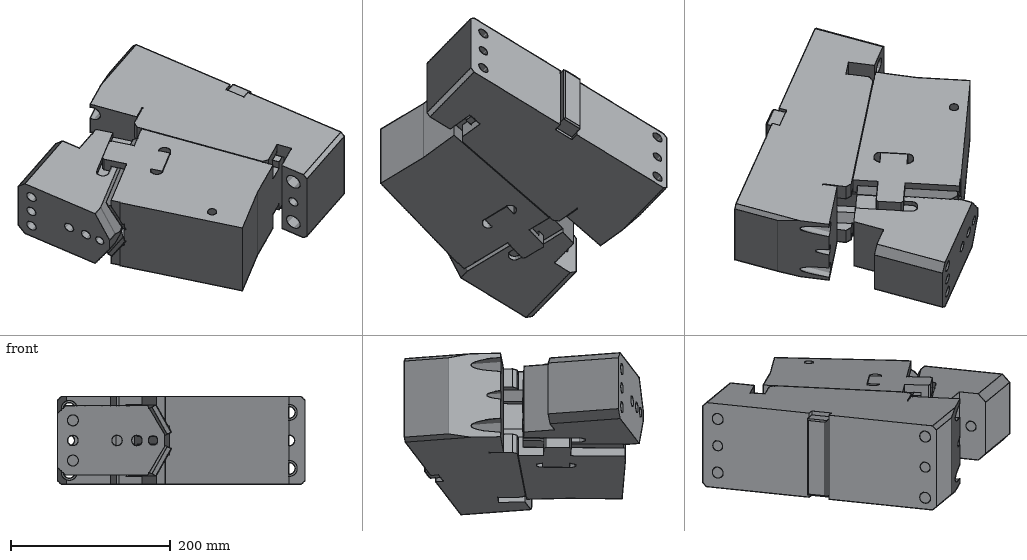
import cadquery as cq
import math


GUIDE_ANGLE = 10.0
DRIVE_ANGLE = 15.0
FLANK_ANGLE = 30.0
GUIDE_ORIGIN = (0.0, -140.0)
SLIDE_CORNER = (124.0, -255.5)
FAR = 620.0

LENGTH = 310.0
HALF_HEIGHT = 55.02
BLOCK_CHAMFER = 5.0
TAPER_START_Y = -56.7
TAPER_FRONT_V = 16.7
LEG_FRONT_Y = -90.0
RECESS_V = 35.0
RECESS_LEFT_U = 77.2
RECESS_RIGHT_U = 277.8
GIB_LEFT_U = 78.0
GIB_RIGHT_U = 258.5
GIB_CHAMFER = 5.5
BOLT_RADIUS = 7.0
BOLT_HEAD_RADIUS = 10.0
BOLT_HEAD_SEAT_Y = -62.0
LEFT_HOLES_X = 15.0
LEFT_BOLT_Z = 40.0
RIGHT_HOLES_X = 290.2
RIGHT_BOLT_Z = 35.0
DOWEL_RADIUS = 6.5
KEY_LEFT_X = 142.5
KEY_WIDTH = 26.0
KEY_HALF_HEIGHT = 50.0
KEY_INSET = 10.0
KEY_PROUD = 8.7
KEY_CHAMFER = 2.0

SLIDE_WIDTH = 171.5
SLIDE_STRAIGHT_LENGTH = 67.3
SLIDE_RIGHT_U = 267.8
SLIDE_GAP = 1.0
FRONT_STEP_WIDTH = 11.5
FRONT_STEP_DEPTH = 1.0
NECK_HALF = 31.0
NECK_V = 19.2
HEAD_HALF = 42.0
HEAD_CHAMFER = 6.0
GROOVE_HALF = 31.0
GROOVE_FLAT_HALF = 18.3
GROOVE_DEPTH = 17.0
PLATE_START = 3.0
PLATE_THICKNESS = 11.2
PLATE_WIDTH = 39.5
PLATE_LEAD_DEPTH = 5.5
PLATE_LEAD_LENGTH = 8.7
PLATE_EDGE_SETBACK = 5.3
TONGUE_END_P = -32.2
TONGUE_LOW_Q = 69.0
TONGUE_HIGH_Q = 103.2
TONGUE_BOTTOM_Z = 45.0
TONGUE_CHAMFER = 2.5
SLOT_WIDTH = 15.5
SLOT_FLOOR_Z = 36.0
HOOK_BOTTOM_Z = 36.5
HOOK_WIDTH = 11.8
POCKET_P = 39.5
POCKET_GAP = 0.5
SLIDE_HOLE = (242.0, -206.0)
SLIDE_HOLE_RADIUS = 5.5
SLIDE_HOLE_DEPTH = 18.5
DRILL_POINT_ANGLE = 118.0

DRIVER_HALF = 43.5
DRIVER_FRONT_Y = -275.3
DRIVER_FOOT_BACK_Y = -185.0
DRIVER_NECK_X = 34.7
DRIVER_END_Q = 129.0
DRIVER_BEND_Y = -262.0
DRIVER_CHAMFER = 10.0
DRIVER_EDGE_P = -12.5
TIP_P = 11.2
TIP_X = 134.2
DRIVER_SLOT_P = -28.0
DRIVER_SLOT_END_Q = 59.0
ENTRY_START_Q = 86.2
FOOT_HOLES_X = 19.5
FOOT_HOLE_Z = 25.0
FOOT_HOLE_RADIUS = 6.8
FOOT_HOLE_DEPTH = 31.0
DRIVER_BOLT_X = 74.7
DRIVER_HOLES = [(DRIVER_BOLT_X, 6.5), (99.5, 6.5), (119.7, 6.0)]
DRIVER_HEAD_RADIUS = 10.2
DRIVER_HEAD_SEAT_Y = -161.2

FLANK_RUN = math.tan(math.radians(FLANK_ANGLE))
TIP_HALF = DRIVER_HALF - (TIP_P - DRIVER_EDGE_P) / FLANK_RUN


def turned(along, across, origin, angle):
    """World X, Y of a point given in a frame turned about Z."""
    c = math.cos(math.radians(angle))
    s = math.sin(math.radians(angle))
    return (origin[0] + along * c - across * s, origin[1] + along * s + across * c)


def guide(u, v):
    return turned(u, v, GUIDE_ORIGIN, GUIDE_ANGLE)


def slide_xy(p, q):
    return turned(p, q, SLIDE_CORNER, DRIVE_ANGLE)


def slide_line_x(p, y):
    """X at which the line of constant p crosses the given Y."""
    a = math.radians(DRIVE_ANGLE)
    return SLIDE_CORNER[0] + (p - (y - SLIDE_CORNER[1]) * math.sin(a)) / math.cos(a)


def upright_prism(points, low_z, high_z):
    return cq.Workplane("XY").workplane(offset=low_z).polyline(points).close().extrude(high_z - low_z)


def mirrored(solid):
    """The shape together with its reflection in Z = 0."""
    return solid.union(solid.mirror("XY"))


def guide_profile(points, start_u, end_u):
    """Prism along the guide direction from (v, z) points."""
    plane = cq.Plane(
        origin=(*guide(start_u, 0), 0),
        xDir=(*turned(0, 1, (0, 0), GUIDE_ANGLE), 0),
        normal=(*turned(1, 0, (0, 0), GUIDE_ANGLE), 0),
    )
    return cq.Workplane(plane).polyline(points).close().extrude(end_u - start_u)


def drive_profile(points, start_q, end_q):
    """Prism along the drive direction from (p, z) points."""
    plane = cq.Plane(
        origin=(*slide_xy(0, end_q), 0),
        xDir=(*turned(1, 0, (0, 0), DRIVE_ANGLE), 0),
        normal=(*turned(0, -1, (0, 0), DRIVE_ANGLE), 0),
    )
    return cq.Workplane(plane).polyline(points).close().extrude(end_q - start_q)


def drive_box(p0, p1, q0, q1, z0, z1):
    return upright_prism([slide_xy(p0, q0), slide_xy(p1, q0), slide_xy(p1, q1), slide_xy(p0, q1)], z0, z1)


def drive_slot(p, q0, q1, low_z):
    """Round-ended slot along the drive direction, open upwards."""
    radius = SLOT_WIDTH / 2
    slot = drive_box(p - radius, p + radius, q0, q1, low_z, HALF_HEIGHT)
    ends = cq.Workplane("XY").workplane(offset=low_z)
    ends = ends.pushPoints([slide_xy(p, q0), slide_xy(p, q1)]).circle(radius).extrude(HALF_HEIGHT - low_z)
    return slot.union(ends)


def hole_along_y(x, z, radius, front_y, back_y):
    plane = cq.Workplane("XZ", origin=(x, back_y, z))
    return plane.circle(radius).extrude(back_y - front_y)


def block_outline():
    s = math.radians(GUIDE_ANGLE)
    taper_u = (TAPER_START_Y - GUIDE_ORIGIN[1]) * math.sin(s)
    leg_v = (LEG_FRONT_Y - GUIDE_ORIGIN[1] - RECESS_RIGHT_U * math.sin(s)) / math.cos(s)
    return [
        (0, 0),
        (0, TAPER_START_Y),
        guide(taper_u, TAPER_FRONT_V),
        guide(RECESS_LEFT_U, TAPER_FRONT_V),
        guide(RECESS_LEFT_U, RECESS_V),
        guide(GIB_LEFT_U, RECESS_V),
        guide(GIB_LEFT_U, GIB_CHAMFER),
        guide(GIB_LEFT_U + GIB_CHAMFER, 0),
        guide(GIB_RIGHT_U - GIB_CHAMFER, 0),
        guide(GIB_RIGHT_U, GIB_CHAMFER),
        guide(GIB_RIGHT_U, RECESS_V),
        guide(RECESS_RIGHT_U, RECESS_V),
        guide(RECESS_RIGHT_U, leg_v),
        (LENGTH, LEG_FRONT_Y),
        (LENGTH, 0),
    ]


def make_block():
    """Block with chamfered ends, T-slot, bolt and dowel holes and back key."""
    block = upright_prism(block_outline(), -HALF_HEIGHT, HALF_HEIGHT)
    section = (
        cq.Workplane("XZ")
        .rect(LENGTH, 2 * HALF_HEIGHT)
        .extrude(FAR, both=True)
        .edges("|Y")
        .chamfer(BLOCK_CHAMFER)
        .translate((LENGTH / 2, 0, 0))
    )
    block = block.intersect(section)
    t_slot = [
        (-SLIDE_GAP, -NECK_HALF),
        (NECK_V, -NECK_HALF),
        (NECK_V, -HEAD_HALF),
        (RECESS_V, -HEAD_HALF),
        (RECESS_V, HEAD_HALF),
        (NECK_V, HEAD_HALF),
        (NECK_V, NECK_HALF),
        (-SLIDE_GAP, NECK_HALF),
    ]
    block = block.cut(guide_profile(t_slot, RECESS_LEFT_U, RECESS_RIGHT_U))
    for x, bolt_z in [(LEFT_HOLES_X, LEFT_BOLT_Z), (RIGHT_HOLES_X, RIGHT_BOLT_Z)]:
        block = block.cut(hole_along_y(x, 0, DOWEL_RADIUS, -FAR, 0))
        for z in (-bolt_z, bolt_z):
            block = block.cut(hole_along_y(x, z, BOLT_RADIUS, -FAR, 0))
            block = block.cut(hole_along_y(x, z, BOLT_HEAD_RADIUS, -FAR, BOLT_HEAD_SEAT_Y))
    return add_key(block)


def add_key(block):
    """Keyway through the full height, with a shorter key standing proud of the back face."""
    middle_x = KEY_LEFT_X + KEY_WIDTH / 2
    keyway = cq.Workplane("XY").box(KEY_WIDTH, 2 * KEY_INSET, 2 * HALF_HEIGHT).translate((middle_x, 0, 0))
    depth = KEY_INSET + KEY_PROUD
    key = cq.Workplane("XY").box(KEY_WIDTH, depth, 2 * KEY_HALF_HEIGHT)
    key = key.faces(">Y").chamfer(KEY_CHAMFER).translate((middle_x, KEY_PROUD - depth / 2, 0))
    return block.cut(keyway).union(key)


def slide_body():
    """Slide with its T-shaped rail; the plan overshoots and the rail section trims it."""
    plan = upright_prism(
        [
            slide_xy(0, 0),
            slide_xy(SLIDE_WIDTH, 0),
            slide_xy(SLIDE_WIDTH, SLIDE_STRAIGHT_LENGTH),
            guide(SLIDE_RIGHT_U, 2 * RECESS_V),
            slide_xy(0, 2 * DRIVER_END_Q),
        ],
        -HALF_HEIGHT,
        HALF_HEIGHT,
    )
    half = [
        (-FAR, HALF_HEIGHT),
        (-SLIDE_GAP, HALF_HEIGHT),
        (-SLIDE_GAP, NECK_HALF),
        (NECK_V, NECK_HALF),
        (NECK_V, HEAD_HALF),
        (RECESS_V - HEAD_CHAMFER, HEAD_HALF),
        (RECESS_V, HEAD_HALF - HEAD_CHAMFER),
    ]
    rail = half + [(v, -z) for v, z in reversed(half)]
    body = plan.intersect(guide_profile(rail, -FAR, FAR))
    step = drive_box(0, FRONT_STEP_WIDTH, 0, FRONT_STEP_DEPTH, -HALF_HEIGHT, HALF_HEIGHT)
    return body.cut(step)


def v_groove():
    """Clearance groove around the driver's V edge."""
    flank_end_p = (GROOVE_HALF - GROOVE_FLAT_HALF) * FLANK_RUN
    points = [
        (0, GROOVE_HALF),
        (flank_end_p, GROOVE_FLAT_HALF),
        (GROOVE_DEPTH, GROOVE_FLAT_HALF),
        (GROOVE_DEPTH, -GROOVE_FLAT_HALF),
        (flank_end_p, -GROOVE_FLAT_HALF),
        (0, -GROOVE_HALF),
    ]
    return drive_profile(points, 0, FAR)


def flank_prism(outline):
    """Prism on the upper driver flank; outline points are (height off the flank, q)."""
    a = math.radians(FLANK_ANGLE)
    low_edge = PLATE_EDGE_SETBACK + PLATE_WIDTH
    low_p = DRIVER_EDGE_P + low_edge * math.sin(a)
    low_z = DRIVER_HALF - low_edge * math.cos(a)
    plane = cq.Plane(
        origin=(*slide_xy(low_p, 0), low_z),
        xDir=(*turned(math.cos(a), 0, (0, 0), DRIVE_ANGLE), math.sin(a)),
        normal=(*turned(-math.sin(a), 0, (0, 0), DRIVE_ANGLE), math.cos(a)),
    )
    return cq.Workplane(plane).polyline(outline).close().extrude(PLATE_WIDTH)


def wear_plate():
    """Plate on the upper driver flank, with a lead-in at its front end."""
    return flank_prism(
        [
            (PLATE_LEAD_DEPTH, PLATE_START),
            (PLATE_THICKNESS, PLATE_START),
            (PLATE_THICKNESS, DRIVER_END_Q),
            (0, DRIVER_END_Q),
            (0, PLATE_START + PLATE_LEAD_LENGTH),
        ]
    )


def wear_plate_seat():
    """Room for a wear plate, open at the front of the slide."""
    return flank_prism(
        [
            (0, -PLATE_START),
            (PLATE_THICKNESS, -PLATE_START),
            (PLATE_THICKNESS, DRIVER_END_Q),
            (0, DRIVER_END_Q),
        ]
    )


def hook():
    """Tongue that reaches over the driver and drops into its slot."""
    end_p = POCKET_P + SLOT_WIDTH / 2 - POCKET_GAP
    z0 = HOOK_BOTTOM_Z
    tongue = drive_box(TONGUE_END_P, end_p, TONGUE_LOW_Q, TONGUE_HIGH_Q, z0, HALF_HEIGHT)
    tongue = tongue.edges("|Z").edges("<X or <Y").chamfer(TONGUE_CHAMFER)
    relief = drive_box(TONGUE_END_P + HOOK_WIDTH, 0, TONGUE_LOW_Q, TONGUE_HIGH_Q, z0, TONGUE_BOTTOM_Z)
    return tongue.cut(relief)


def make_slide():
    """Slide body with wear plates, hooks and hook pockets."""
    body = slide_body().cut(v_groove()).cut(mirrored(wear_plate_seat()))
    pocket = drive_slot(POCKET_P, TONGUE_LOW_Q, TONGUE_HIGH_Q, SLOT_FLOOR_Z)
    body = body.cut(mirrored(pocket))
    body = body.union(mirrored(wear_plate())).union(mirrored(hook()))
    return body.cut(slide_hole())


def slide_hole():
    """Blind drilled hole with a conical bottom, in the top face only."""
    floor_z = -SLIDE_HOLE_DEPTH
    point_z = floor_z - SLIDE_HOLE_RADIUS / math.tan(math.radians(DRILL_POINT_ANGLE / 2))
    half_section = [(0, 0), (SLIDE_HOLE_RADIUS, 0), (SLIDE_HOLE_RADIUS, floor_z), (0, point_z)]
    drill = cq.Workplane("XZ").polyline(half_section).close().revolve(360, (0, 0), (0, 1))
    return drill.translate((*SLIDE_HOLE, HALF_HEIGHT))


def flank_waste():
    """Wedge above the upper flank: straight at the front, then turned."""
    edge_x = slide_line_x(DRIVER_EDGE_P, DRIVER_BEND_Y)
    tip_x = slide_line_x(TIP_P, DRIVER_BEND_Y)
    y = DRIVER_BEND_Y
    wire = cq.Wire.makePolygon(
        [cq.Vector(edge_x, y, DRIVER_HALF), cq.Vector(tip_x, y, TIP_HALF), cq.Vector(tip_x, y, DRIVER_HALF)],
        close=True,
    )
    front = cq.Solid.extrudeLinear(wire, [], cq.Vector(0, DRIVER_FRONT_Y - y, 0))
    back = cq.Solid.extrudeLinear(wire, [], cq.Vector(*turned(0, FAR, (0, 0), DRIVE_ANGLE), 0))
    return cq.Workplane(front).union(cq.Workplane(back))


def make_driver():
    """Foot and turned arm with a V edge, hook slots and holes along Y."""
    a = math.radians(DRIVE_ANGLE)
    tip_corner_y = SLIDE_CORNER[1] + (TIP_P - (TIP_X - SLIDE_CORNER[0]) * math.cos(a)) / math.sin(a)
    neck_p = (DRIVER_NECK_X - SLIDE_CORNER[0] + DRIVER_END_Q * math.sin(a)) / math.cos(a)
    driver = upright_prism(
        [
            (0, DRIVER_FRONT_Y),
            (TIP_X, DRIVER_FRONT_Y),
            (TIP_X, tip_corner_y),
            slide_xy(TIP_P, DRIVER_END_Q),
            slide_xy(neck_p, DRIVER_END_Q),
            (DRIVER_NECK_X, DRIVER_FOOT_BACK_Y),
            (0, DRIVER_FOOT_BACK_Y),
        ],
        -DRIVER_HALF,
        DRIVER_HALF,
    )
    driver = driver.faces("<X").edges("|Y").chamfer(DRIVER_CHAMFER)
    driver = driver.cut(mirrored(flank_waste()))
    slot = drive_slot(DRIVER_SLOT_P, DRIVER_SLOT_END_Q, FAR, SLOT_FLOOR_Z)
    entry = drive_box(DRIVER_SLOT_P, TIP_P, ENTRY_START_Q, FAR, SLOT_FLOOR_Z, HALF_HEIGHT)
    driver = driver.cut(mirrored(slot.union(entry)))
    driver = driver.cut(hole_along_y(FOOT_HOLES_X, 0, DOWEL_RADIUS, -FAR, 0))
    foot_hole_end_y = DRIVER_FRONT_Y + FOOT_HOLE_DEPTH
    for z in (-FOOT_HOLE_Z, FOOT_HOLE_Z):
        driver = driver.cut(hole_along_y(FOOT_HOLES_X, z, FOOT_HOLE_RADIUS, DRIVER_FRONT_Y, foot_hole_end_y))
    for x, radius in DRIVER_HOLES:
        driver = driver.cut(hole_along_y(x, 0, radius, -FAR, 0))
    head = hole_along_y(DRIVER_BOLT_X, 0, DRIVER_HEAD_RADIUS, DRIVER_HEAD_SEAT_Y, 0)
    return driver.cut(head)


block = make_block()
slide = make_slide()
driver = make_driver()
result = cq.Compound.makeCompound([block.solids().val(), slide.solids().val(), driver.solids().val()])